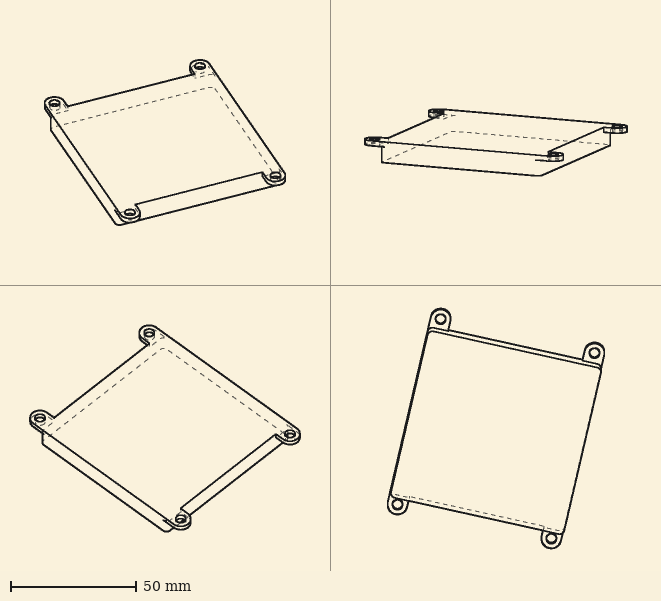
import cadquery as cq

overall_length = 86.0
width = 71.0
height = 8.5

body_length = 70.0
corner_radius = 2.0

ear_thickness = 2.1
ear_width = 8.0
hole_diameter = 4.0

hole_spacing_x = overall_length - ear_width
hole_spacing_y = width - ear_width
ear_bottom = height - ear_thickness


def make_body():
    """Rectangular block with rounded vertical corners."""
    block = cq.Workplane("XY").box(body_length, width, height, centered=(True, True, False))
    return block.edges("|Z").fillet(corner_radius)


def make_ear_strip(y_center):
    """Round-ended strip across the block; its two ends are the ears."""
    return (
        cq.Workplane("XY", origin=(0, y_center, ear_bottom))
        .slot2D(overall_length, ear_width)
        .extrude(ear_thickness)
    )


def make_ear_holes():
    """Through holes concentric with the rounded ear ends."""
    return (
        cq.Workplane("XY", origin=(0, 0, ear_bottom))
        .rect(hole_spacing_x, hole_spacing_y, forConstruction=True)
        .vertices()
        .circle(hole_diameter / 2)
        .extrude(ear_thickness)
    )


result = make_body()
for side in (-1, 1):
    result = result.union(make_ear_strip(side * hole_spacing_y / 2))
result = result.cut(make_ear_holes())